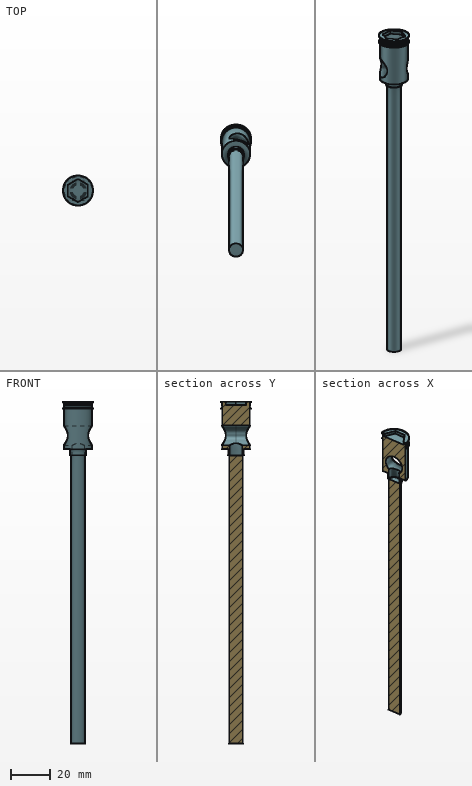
import cadquery as cq
import math

total_height = 174.5
head_height = 24.3
collar_height = 3.2

rim_diameter = 15.5
head_diameter = 14.5
collar_diameter = 8.2
rod_diameter = 7.2

rim_band_height = 3.75
upper_rim_thickness = 0.4
lower_rim_thickness = 0.15

groove_depth = 0.1
groove_width = 0.5

cross_hole_diameter = 10.0
cross_hole_drop = 17.3

hex_across_flats = 10.2
hex_depth = 1.7

bore_diameter = 6.2

head_bottom = total_height - head_height
collar_bottom = head_bottom - collar_height
cross_hole_axis = total_height - cross_hole_drop


def cylinder(diameter, bottom, height):
    """Upright cylinder on the Z axis."""
    return cq.Workplane("XY").workplane(offset=bottom).circle(diameter / 2).extrude(height)


def make_head():
    """Head with two rims chamfered into its side and a shallow groove midway between them."""
    head_radius = head_diameter / 2
    rim_radius = rim_diameter / 2
    groove_radius = head_radius - groove_depth
    band_bottom = total_height - rim_band_height

    cone_height = rim_radius - head_radius
    upper_rim_edge = total_height - upper_rim_thickness
    lower_rim_edge = band_bottom + lower_rim_thickness
    upper_cone_end = upper_rim_edge - cone_height
    lower_cone_end = lower_rim_edge + cone_height

    groove_middle = (upper_cone_end + lower_cone_end) / 2
    groove_top = groove_middle + groove_width / 2
    groove_bottom = groove_middle - groove_width / 2

    profile = (
        cq.Workplane("XZ")
        .moveTo(0, total_height)
        .lineTo(rim_radius, total_height)
        .lineTo(rim_radius, upper_rim_edge)
        .lineTo(head_radius, upper_cone_end)
        .lineTo(head_radius, groove_top)
        .lineTo(groove_radius, groove_top)
        .lineTo(groove_radius, groove_bottom)
        .lineTo(head_radius, groove_bottom)
        .lineTo(head_radius, lower_cone_end)
        .lineTo(rim_radius, lower_rim_edge)
        .lineTo(rim_radius, band_bottom)
        .lineTo(head_radius, band_bottom)
        .lineTo(head_radius, head_bottom)
        .lineTo(0, head_bottom)
        .close()
    )
    return profile.revolve(360, (0, 0, 0), (0, 1, 0))


def make_cross_hole():
    """Cutter for the cross hole, running right through the head along X."""
    return (
        cq.Workplane("YZ")
        .center(0, cross_hole_axis)
        .circle(cross_hole_diameter / 2)
        .extrude(rim_diameter, both=True)
    )


def make_hex_socket():
    """Cutter for the blind hexagonal socket."""
    across_corners = hex_across_flats / math.cos(math.pi / 6)
    return (
        cq.Workplane("XY")
        .workplane(offset=total_height - hex_depth)
        .transformed(rotate=(0, 0, 90))
        .polygon(6, across_corners)
        .extrude(hex_depth)
    )


rod = cylinder(rod_diameter, 0, collar_bottom)
collar = cylinder(collar_diameter, collar_bottom, collar_height)
bore = cylinder(bore_diameter, collar_bottom, cross_hole_axis - collar_bottom)

body = make_head().union(collar).union(rod)
result = body.cut(make_cross_hole()).cut(make_hex_socket()).cut(bore)